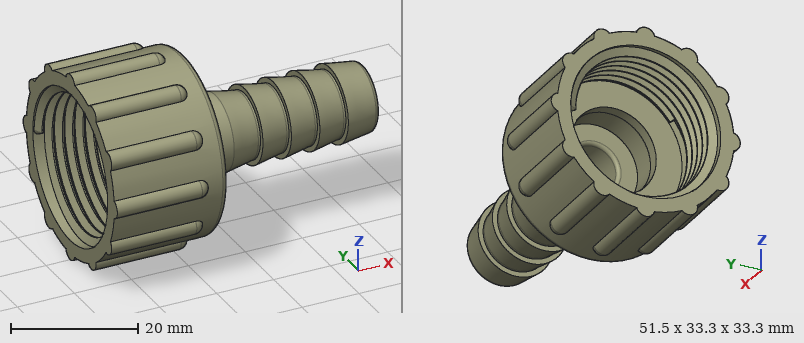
import cadquery as cq
import math

TOTAL_LENGTH = 51.5

NUT_LENGTH = 20.0
NUT_RADIUS = 15.55
NUT_EDGE_FILLET = 0.95

RIB_COUNT = 12
RIB_RADIUS = 1.65
RIB_CIRCLE_RADIUS = 15.0
RIB_STRAIGHT_LENGTH = 14.95

THREAD_MAJOR_RADIUS = 13.2
THREAD_MINOR_RADIUS = 11.85
THREAD_PITCH = 1.8
THREAD_FLANK_ANGLE = 27.5
THREAD_ROOT_GAP = 0.05
THREAD_START = 1.05
THREAD_TURNS = 5.4
THREAD_ROOTING = 0.1

WASHER_FACE = 11.3
WASHER_THICKNESS = 2.0
WASHER_RADIUS = 12.05
WASHER_HOLE_RADIUS = 7.5

FLANGE_START = WASHER_FACE + WASHER_THICKNESS
FLANGE_END = 17.0
COLLAR_RADIUS = 10.0
COLLAR_END = 20.3
RECESS_WALL = 2.45
RECESS_FLOOR = COLLAR_END - RECESS_WALL

BORE_ENTRY_RADIUS = 4.0
BORE_TIP_RADIUS = 3.75
BORE_ENTRY_FILLET = 0.6

TAIL_RADIUS = 6.6
BARB_ROOT_RADIUS = 5.7
FIRST_TAPER_START = 25.5
BARB_COUNT = 4
BARB_START = 30.55
BARB_PITCH = 5.0
BARB_NECK = 0.35
TIP_FILLET = 0.8


def revolve_about_x(outline):
    """Turn a closed outline, drawn as (x, radius), into a solid about the X axis."""
    return outline.close().revolve(360, (0, 0, 0), (1, 0, 0))


def cylinder(start, end, radius):
    """Solid cylinder on the X axis between two X positions, its seam line on the -Z side."""
    plane = cq.Plane(origin=(start, 0, 0), xDir=(0, 0, -1), normal=(1, 0, 0))
    return cq.Workplane(plane).circle(radius).extrude(end - start)


def make_rib(angle):
    """Round grip rib with a ball end, at an angle about X."""
    axis_start = (0, RIB_CIRCLE_RADIUS, 0)
    axis_end = (RIB_STRAIGHT_LENGTH, RIB_CIRCLE_RADIUS, 0)
    bar = cq.Workplane("YZ", origin=axis_start).circle(RIB_RADIUS).extrude(RIB_STRAIGHT_LENGTH)
    ball = cq.Workplane("XY", origin=axis_end).sphere(RIB_RADIUS)
    return bar.union(ball).rotate((0, 0, 0), (1, 0, 0), angle)


def make_thread_ridge():
    """Right-hand thread ridge that starts on the +Y side with a rounded, cone-shaped end."""
    outer = THREAD_MAJOR_RADIUS + THREAD_ROOTING
    slope = math.tan(math.radians(THREAD_FLANK_ANGLE))
    half_root = (THREAD_PITCH - THREAD_ROOT_GAP) / 2
    half_crest = half_root - slope * (outer - THREAD_MINOR_RADIUS)

    profile = cq.Workplane("XZ").polyline([
        (outer, -half_root),
        (THREAD_MINOR_RADIUS, -half_crest),
        (THREAD_MINOR_RADIUS, half_crest),
        (outer, half_root),
    ]).close()
    helix = cq.Wire.makeHelix(THREAD_PITCH, THREAD_PITCH * THREAD_TURNS, THREAD_MAJOR_RADIUS)
    ridge = profile.sweep(cq.Workplane(helix), isFrenet=True)
    end_cone = cq.Workplane("XZ").polyline([
        (outer, 0),
        (outer, half_root),
        (THREAD_MINOR_RADIUS, half_crest),
        (THREAD_MINOR_RADIUS, 0),
    ]).close().revolve(180, (0, 0, 0), (1, 0, 0))
    ridge = ridge.union(end_cone)

    ridge = ridge.rotate((0, 0, 0), (1, 1, 1), 120)
    return ridge.translate((THREAD_START, 0, 0))


def make_nut():
    """Ribbed nut with its thread, the seat of washer and flange, and the hole for the collar."""
    nut = cylinder(0, NUT_LENGTH, NUT_RADIUS).faces(">X").edges().fillet(NUT_EDGE_FILLET)
    for index in range(RIB_COUNT):
        nut = nut.union(make_rib(index * 360 / RIB_COUNT))
    nut = nut.cut(cylinder(0, WASHER_FACE, THREAD_MAJOR_RADIUS))
    nut = nut.union(make_thread_ridge())
    nut = nut.cut(cylinder(WASHER_FACE, FLANGE_END, WASHER_RADIUS))
    return nut.cut(cylinder(FLANGE_END, NUT_LENGTH, COLLAR_RADIUS))


def make_washer():
    """Flat sealing washer that lies on the flange of the tail."""
    washer = cylinder(WASHER_FACE, FLANGE_START, WASHER_RADIUS)
    return washer.cut(cylinder(WASHER_FACE, FLANGE_START, WASHER_HOLE_RADIUS))


def make_tail():
    """Barbed hose tail with its flange, collar, recess and tapered bore."""
    outline = (
        cq.Workplane("XY")
        .moveTo(FLANGE_START, 0)
        .lineTo(FLANGE_START, WASHER_RADIUS)
        .lineTo(FLANGE_END, WASHER_RADIUS)
        .lineTo(FLANGE_END, COLLAR_RADIUS)
        .lineTo(COLLAR_END, COLLAR_RADIUS)
        .lineTo(COLLAR_END, TAIL_RADIUS)
        .lineTo(FIRST_TAPER_START, TAIL_RADIUS)
    )
    for index in range(BARB_COUNT):
        barb_start = BARB_START + index * BARB_PITCH
        outline = (
            outline.lineTo(barb_start - BARB_NECK, BARB_ROOT_RADIUS)
            .lineTo(barb_start, BARB_ROOT_RADIUS)
            .lineTo(barb_start, TAIL_RADIUS)
        )
    outline = outline.lineTo(TOTAL_LENGTH, BARB_ROOT_RADIUS).lineTo(TOTAL_LENGTH, 0)
    tail = revolve_about_x(outline).faces(">X").edges().fillet(TIP_FILLET)

    bore = revolve_about_x(
        cq.Workplane("XY")
        .moveTo(RECESS_FLOOR, 0)
        .lineTo(RECESS_FLOOR, BORE_ENTRY_RADIUS + BORE_ENTRY_FILLET)
        .radiusArc((RECESS_FLOOR + BORE_ENTRY_FILLET, BORE_ENTRY_RADIUS), -BORE_ENTRY_FILLET)
        .lineTo(TOTAL_LENGTH, BORE_TIP_RADIUS)
        .lineTo(TOTAL_LENGTH, 0)
    )
    return tail.cut(cylinder(FLANGE_START, RECESS_FLOOR, WASHER_HOLE_RADIUS)).cut(bore)


nut = make_nut()
washer = make_washer()
tail = make_tail()
result = cq.Compound.makeCompound([nut.val(), washer.val(), tail.val()])